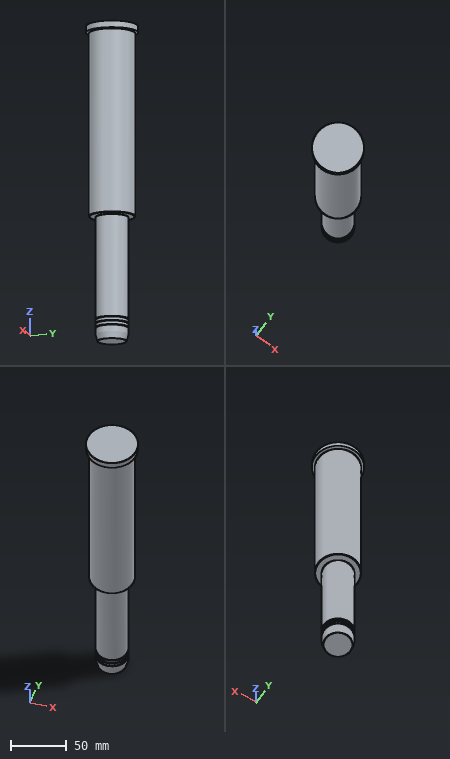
import cadquery as cq

total_length = 291.0
flange_diameter = 47.0
barrel_diameter = 42.0
pin_diameter = 30.0
tip_diameter = 26.5

flange_thickness = 6.0
head_length = 176.0
tip_length = 6.5

flange_chamfer = 0.3
barrel_top_chamfer = 1.0
barrel_end_chamfer = 0.5
pin_chamfer = 1.0
tip_chamfer = 0.3

groove_count = 3
first_groove_height = 12.5
groove_pitch = 3.8
groove_radius = 0.45

shoulder_height = total_length - head_length
flange_bottom = total_length - flange_thickness


def cylinder(diameter, bottom, top):
    """Solid cylinder on the Z axis between two heights."""
    return cq.Workplane("XY", origin=(0, 0, bottom)).circle(diameter / 2).extrude(top - bottom)


def groove_cutter(height):
    """Ring of circular section that cuts one round-bottomed groove centred at the given height."""
    return (
        cq.Workplane("XZ")
        .center(pin_diameter / 2, height)
        .circle(groove_radius)
        .revolve(360, (-pin_diameter / 2, 0, 0), (-pin_diameter / 2, 1, 0))
    )


flange = cylinder(flange_diameter, flange_bottom, total_length)
flange = flange.faces(">Z").edges().chamfer(flange_chamfer)

barrel = cylinder(barrel_diameter, shoulder_height, flange_bottom)
barrel = barrel.faces(">Z").edges().chamfer(barrel_top_chamfer)
barrel = barrel.faces("<Z").edges().chamfer(barrel_end_chamfer)

pin = cylinder(pin_diameter, tip_length, shoulder_height)
pin = pin.faces(">Z").edges().chamfer(pin_chamfer)

tip = (
    cq.Workplane("XY")
    .circle(tip_diameter / 2)
    .workplane(offset=tip_length)
    .circle(pin_diameter / 2)
    .loft(ruled=True)
    .faces("<Z")
    .edges()
    .chamfer(tip_chamfer)
)

result = flange.union(barrel).union(pin).union(tip)
for index in range(groove_count):
    result = result.cut(groove_cutter(first_groove_height + index * groove_pitch))